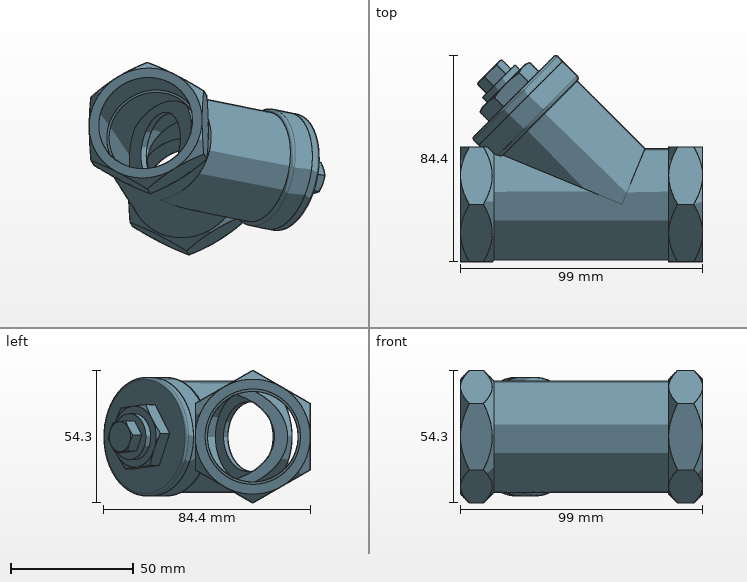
import cadquery as cq
import math


overall_length = 99.0
branch_from_left_end = 66.0
left_end = -branch_from_left_end
right_end = overall_length - branch_from_left_end
pipe_radius = 22.8
bore_radius = 18.5
socket_radius = 19.5
socket_depth = 17.5
inlet_depth = 48.0

end_hex_flats = 47.0
end_hex_bevel_angle = 45.0
left_hex_length = 13.7
right_hex_length = 13.9

branch_angle = 135.0
branch_bore_radius = 19.0
seat_thickness = 2.6
seat_hole_radius = 14.3
collar_radius = 24.25
collar_bottom = 48.6
collar_top = 58.5
collar_fillet = collar_radius - pipe_radius

cap_disc_height = 3.9
cap_rim_fillet = 1.0
cap_hex_flats = 25.0
cap_hex_height = 6.0
plug_collar_radius = 9.4
plug_collar_height = 2.8
plug_hex_flats = 12.3
plug_hex_height = 5.6
cap_turn = 95.5
hex_chamfer_angle = 20.0

cap_hex_bottom = collar_top + cap_disc_height
plug_bottom = cap_hex_bottom + cap_hex_height
plug_hex_bottom = plug_bottom + plug_collar_height

HEX_CORNER_RATIO = 1.0 / math.cos(math.radians(30.0))


def x_cylinder(radius, start, end):
    """Solid cylinder on the pipe axis between two X positions."""
    return cq.Workplane("YZ", origin=(start, 0, 0)).circle(radius).extrude(end - start)


def upright_cylinder(radius, bottom, top):
    """Solid cylinder on Z, to be leaned onto the branch axis later."""
    return cq.Workplane("XY").workplane(offset=bottom).circle(radius).extrude(top - bottom)


def lean_to_branch(body):
    """Turn a body built upright on Z so that its axis lies along the branch."""
    laid_along_x = body.rotate((0, 0, 0), (0, 1, 0), 90)
    return laid_along_x.rotate((0, 0, 0), (0, 0, 1), branch_angle)


def hex_prism(flats, bottom, height):
    """Upright hexagonal prism with two corners on the X axis."""
    corner_diameter = flats * HEX_CORNER_RATIO
    return cq.Workplane("XY").workplane(offset=bottom).polygon(6, corner_diameter).extrude(height)


def bevel_profile(flats, bottom, height, bottom_radius, top_radius, angle):
    """Solid of revolution that bevels the corners of a hexagonal prism at both ends."""
    corner_radius = flats * HEX_CORNER_RATIO / 2
    slope = math.tan(math.radians(angle))
    top = bottom + height
    low_bevel = (corner_radius - bottom_radius) * slope
    high_bevel = (corner_radius - top_radius) * slope
    profile = cq.Workplane("XZ").moveTo(0, bottom).lineTo(bottom_radius, bottom)
    if low_bevel > 0:
        profile = profile.lineTo(corner_radius, bottom + low_bevel)
    profile = profile.lineTo(corner_radius, top - high_bevel).lineTo(top_radius, top).lineTo(0, top)
    return profile.close().revolve(360, (0, 0, 0), (0, 1, 0))


def pipe_end_hex(start, length, left_radius, right_radius):
    """Hexagonal pipe end with corners on +Z and -Z, bevelled at 45 degrees on both sides."""
    prism = hex_prism(end_hex_flats, 0, length)
    bevel = bevel_profile(end_hex_flats, 0, length, left_radius, right_radius, end_hex_bevel_angle)
    return prism.intersect(bevel).rotate((0, 0, 0), (0, 1, 0), 90).translate((start, 0, 0))


def topped_hex(flats, bottom, height):
    """Upright hexagon with only its top corners bevelled."""
    corner_radius = flats * HEX_CORNER_RATIO / 2
    bevel = bevel_profile(flats, bottom, height, corner_radius, flats / 2, hex_chamfer_angle)
    return hex_prism(flats, bottom, height).intersect(bevel)


def build_run():
    """Run pipe with its hexagonal ends, bored right through and opened into the branch."""
    flat_radius = end_hex_flats / 2
    right_hex_start = right_end - right_hex_length
    run = x_cylinder(pipe_radius, left_end, right_end)
    run = run.union(pipe_end_hex(left_end, left_hex_length, flat_radius, pipe_radius))
    run = run.union(pipe_end_hex(right_hex_start, right_hex_length, flat_radius, flat_radius))
    branch_opening = lean_to_branch(upright_cylinder(branch_bore_radius, seat_thickness, collar_top))
    return run.cut(x_cylinder(bore_radius, left_end, right_end)).cut(branch_opening)


def build_branch():
    """Branch tube with its collar and the seat ring that closes its lower end."""
    collar = upright_cylinder(collar_radius, collar_bottom, collar_top)
    collar = collar.faces("<Z").edges().fillet(collar_fillet)
    branch = upright_cylinder(pipe_radius, 0, collar_top).union(collar)
    branch = branch.cut(upright_cylinder(branch_bore_radius, seat_thickness, collar_top))
    branch = branch.cut(upright_cylinder(seat_hole_radius, 0, seat_thickness))
    inlet = x_cylinder(bore_radius, left_end, left_end + inlet_depth)
    return lean_to_branch(branch).cut(inlet)


def build_housing():
    """Pipe and branch as one solid, with a wider socket in each pipe end."""
    housing = build_run().union(build_branch())
    for start in (left_end, right_end - socket_depth):
        housing = housing.cut(x_cylinder(socket_radius, start, start + socket_depth))
    return housing


def build_cap():
    """Disc that closes the branch, with a hexagon on top."""
    disc = upright_cylinder(collar_radius, collar_top, cap_hex_bottom)
    disc = disc.faces(">Z").edges().fillet(cap_rim_fillet)
    cap = disc.union(topped_hex(cap_hex_flats, cap_hex_bottom, cap_hex_height))
    return lean_to_branch(cap.rotate((0, 0, 0), (0, 0, 1), cap_turn))


def build_plug():
    """Round collar with a small hexagon, seated on the cap."""
    plug = upright_cylinder(plug_collar_radius, plug_bottom, plug_hex_bottom)
    plug = plug.union(topped_hex(plug_hex_flats, plug_hex_bottom, plug_hex_height))
    return lean_to_branch(plug.rotate((0, 0, 0), (0, 0, 1), cap_turn))


housing = build_housing()
cap = build_cap()
plug = build_plug()

result = cq.Compound.makeCompound([housing.val(), cap.val(), plug.val()])